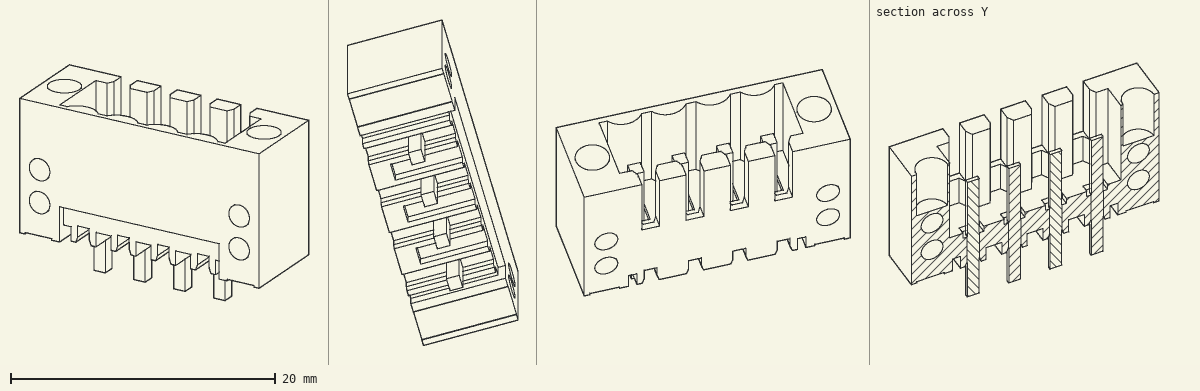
import cadquery as cq


LENGTH = 21.0
DEPTH = 7.45
HEIGHT = 11.09

PIN_COUNT = 4
PITCH = LENGTH / (PIN_COUNT + 2)
PIN_WIDTH = 1.0
PIN_Y = 3.5
PIN_TOP_Z = 8.53
PIN_TAIL = 3.17
PIN_XS = [(i - (PIN_COUNT - 1) / 2) * PITCH for i in range(PIN_COUNT)]
GAP_XS = [(left + right) / 2 for left, right in zip(PIN_XS, PIN_XS[1:])]

CAVITY_LENGTH = 14.5
FRONT_WALL = 0.46
CAVITY_BACK_Y = 5.85
FLOOR_Z = 3.5
PIN_RECESS_WIDTH = 1.75
PIN_RECESS_DEPTH = 0.5

RIB_WIDTH = 2.7
RIB_RISE = 0.7

GROOVE_MOUTH = 2.0
GROOVE_BOTTOM = 0.82
GROOVE_DEPTH = 1.07
REAR_SLOT_WIDTH = 1.4
REAR_SLOT_Z = 6.0

END_HOLE_X = (PIN_COUNT + 1) / 2 * PITCH
SCREW_HOLE_DIAMETER = 2.6
SCREW_HOLE_DEPTH = 4.2
SCREW_HOLE_Y = DEPTH / 2
CROSS_HOLE_DIAMETER = 1.8
CROSS_HOLE_ZS = (2.88, 5.59)

SKIRT_LENGTH = PIN_COUNT * PITCH
SKIRT_RECESS_HEIGHT = 2.92
SKIRT_RECESS_DEPTH = 0.59
FOOT_WIDTH = 2.18
GAP_WIDTH = PITCH - FOOT_WIDTH
GAP_HEIGHT = 1.2
PIN_SLOT_HEIGHT = 1.39
PIN_SLOT_FLARE = 0.17
PIN_SLOT_FLARE_HEIGHT = 0.46
END_GROOVE_WIDTH = 2.33
END_GROOVE_HEIGHT = 0.13
END_GROOVE_INSET = 0.46


def box(x_center, x_size, y_start, y_end, z_start, z_end):
    """Block centred on x_center, spanning the given Y and Z ranges."""
    return cq.Workplane("XY").box(
        x_size, y_end - y_start, z_end - z_start, centered=(True, False, False)
    ).translate((x_center, y_start, z_start))


def coding_rib(x):
    """Segment of a cylinder that rises from the front wall into the cavity."""
    return (
        cq.Workplane("XY", origin=(x, FRONT_WALL, FLOOR_Z))
        .moveTo(-RIB_WIDTH / 2, 0)
        .threePointArc((0, RIB_RISE), (RIB_WIDTH / 2, 0))
        .close()
        .extrude(HEIGHT - FLOOR_Z)
    )


def rear_groove(x):
    """Tapered vertical groove that opens from the cavity into the rear wall."""
    return (
        cq.Workplane("XY", origin=(x, CAVITY_BACK_Y, FLOOR_Z))
        .moveTo(-GROOVE_MOUTH / 2, 0)
        .lineTo(-GROOVE_BOTTOM / 2, GROOVE_DEPTH)
        .lineTo(GROOVE_BOTTOM / 2, GROOVE_DEPTH)
        .lineTo(GROOVE_MOUTH / 2, 0)
        .close()
        .extrude(HEIGHT - FLOOR_Z)
    )


def cut_cavity(body):
    cavity = box(0, CAVITY_LENGTH, FRONT_WALL, CAVITY_BACK_Y, FLOOR_Z, HEIGHT)
    for x in PIN_XS:
        cavity = cavity.cut(coding_rib(x)).union(rear_groove(x))
    body = body.cut(cavity)
    for x in PIN_XS:
        body = body.cut(box(x, REAR_SLOT_WIDTH, CAVITY_BACK_Y, DEPTH, REAR_SLOT_Z, HEIGHT))
    return body


def cut_end_holes(body):
    for x in (-END_HOLE_X, END_HOLE_X):
        screw_hole = (
            cq.Workplane("XY", origin=(x, SCREW_HOLE_Y, HEIGHT))
            .circle(SCREW_HOLE_DIAMETER / 2)
            .extrude(-SCREW_HOLE_DEPTH)
        )
        body = body.cut(screw_hole)
        for z in CROSS_HOLE_ZS:
            cross_hole = (
                cq.Workplane("XZ", origin=(x, 0, z))
                .circle(CROSS_HOLE_DIAMETER / 2)
                .extrude(-DEPTH)
            )
            body = body.cut(cross_hole)
    return body


def pin_slot(x):
    """Slot from front to back across the foot of a pin, flared at its mouth."""
    half_width = PIN_WIDTH / 2
    mouth = half_width + PIN_SLOT_FLARE
    return (
        cq.Workplane("XZ", origin=(x, 0, 0))
        .moveTo(-mouth, 0)
        .lineTo(-half_width, PIN_SLOT_FLARE_HEIGHT)
        .lineTo(-half_width, PIN_SLOT_HEIGHT)
        .lineTo(half_width, PIN_SLOT_HEIGHT)
        .lineTo(half_width, PIN_SLOT_FLARE_HEIGHT)
        .lineTo(mouth, 0)
        .close()
        .extrude(-DEPTH)
    )


def cut_underside(body):
    body = body.cut(box(0, SKIRT_LENGTH, 0, SKIRT_RECESS_DEPTH, 0, SKIRT_RECESS_HEIGHT))

    for x in GAP_XS:
        body = body.cut(box(x, GAP_WIDTH, 0, CAVITY_BACK_Y, 0, GAP_HEIGHT))

    end_gap_x = SKIRT_LENGTH / 2 - GAP_WIDTH / 4
    end_groove_x = LENGTH / 2 - END_GROOVE_INSET - END_GROOVE_WIDTH / 2
    for side in (-1, 1):
        body = body.cut(box(side * end_gap_x, GAP_WIDTH / 2, 0, DEPTH, 0, GAP_HEIGHT))
        body = body.cut(box(side * end_groove_x, END_GROOVE_WIDTH, 0, DEPTH, 0, END_GROOVE_HEIGHT))

    for x in PIN_XS:
        body = body.cut(pin_slot(x))
    return body


def square_post(x, width, z_start, z_end):
    """Square upright block on a pin axis."""
    return box(x, width, PIN_Y - width / 2, PIN_Y + width / 2, z_start, z_end)


def cut_pin_seats(body):
    """Pin-sized holes through the floor, each with a wider square recess on top."""
    for x in PIN_XS:
        body = body.cut(square_post(x, PIN_WIDTH, 0, FLOOR_Z))
        body = body.cut(square_post(x, PIN_RECESS_WIDTH, FLOOR_Z - PIN_RECESS_DEPTH, FLOOR_Z))
    return body


def make_housing():
    body = box(0, LENGTH, 0, DEPTH, 0, HEIGHT)
    body = cut_cavity(body)
    body = cut_end_holes(body)
    body = cut_underside(body)
    return cut_pin_seats(body)


def make_pin(x):
    return square_post(x, PIN_WIDTH, -PIN_TAIL, PIN_TOP_Z)


housing = make_housing()
pins = [make_pin(x) for x in PIN_XS]

result = cq.Compound.makeCompound([housing.val(), *[pin.val() for pin in pins]])